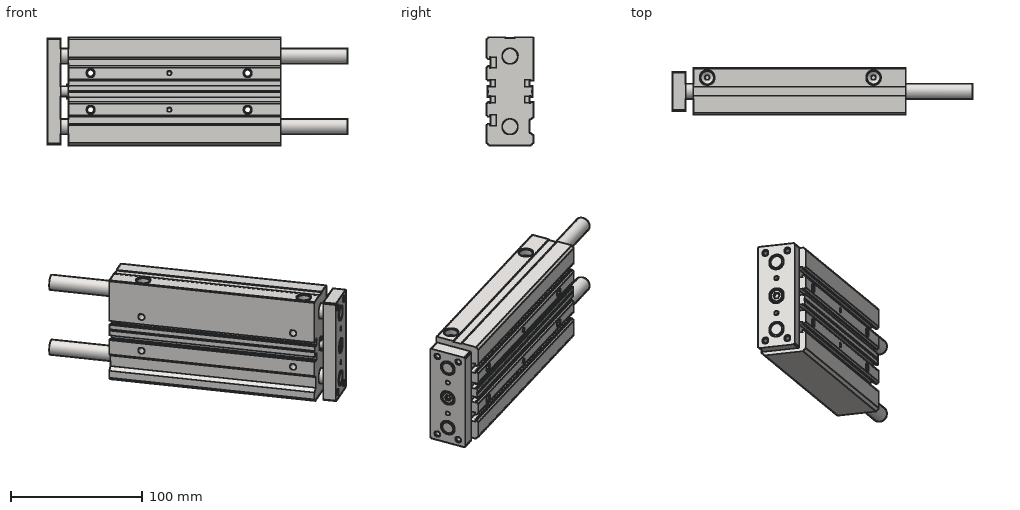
import cadquery as cq
import math

OVERALL_LENGTH = 229.0

HOUSING_START = 16.0
HOUSING_LENGTH = 162.1
HOUSING_THICKNESS = 36.0
HOUSING_WIDTH = 83.0
FRONT_TOP_CHAMFER = 1.8
BACK_TOP_CHAMFER = 0.7
BOTTOM_CHAMFER = 2.3
HALF_THICKNESS = HOUSING_THICKNESS / 2
HALF_WIDTH = HOUSING_WIDTH / 2
SIDE_FRONT = -1
SIDE_BACK = 1

MOUTH_CHAMFER = 1.4
OUTER_SLOT_Z = 22.0
OUTER_NECK_HALF = 2.5
OUTER_INNER_HALF = 4.1
OUTER_NECK_DEPTH = 2.7
OUTER_SLOT_DEPTH = 7.5
CENTRE_SLOT_Z = 6.2
CENTRE_NECK_HALF = 1.8
CENTRE_INNER_HALF = 2.5
CENTRE_NECK_DEPTH = 2.3
CENTRE_SLOT_DEPTH = 6.6

RIB_RECESS = 0.7
RIB_NOTCH_HALF = 0.5
RIB_NOTCH_DEPTH = 0.7

BACK_GROOVE_Z = -26.5
BACK_GROOVE_MOUTH_HALF = 6.9
BACK_GROOVE_DEPTH = 3.5
BACK_GROOVE_FLOOR_HALF = 4.4
TOP_GROOVE_WIDTH = 6.9
TOP_GROOVE_DEPTH = 0.7

MOUNT_HOLE_XS = (33.0, 152.7)
CROSS_HOLE_Z = 14.0
MOUNT_HOLE_RADIUS = 2.5
MOUNT_HOLE_RIM = 3.2
PIN_HOLE_X = 93.0
PIN_HOLE_RADIUS = 1.72
PIN_HOLE_DEPTH = 5.7

PORT_XS = (26.5, 153.5)
PORT_Y = 10.5
PORT_RIM = 5.7
PORT_RADIUS = 5.0
PORT_DEPTH = 5.7
PORT_DUCT_RADIUS = 1.8
PORT_DUCT_END_Z = 18.3

COLLAR_RADIUS = 5.5
COLLAR_LENGTH = 1.4

PLATE_LENGTH = 10.0
PLATE_THICKNESS = 30.0
PLATE_WIDTH = 81.0
PLATE_CHAMFER = 1.0
CORNER_HOLE_Y = 9.0
CORNER_HOLE_Z = 35.0
CORNER_HOLE_RADIUS = 1.8
CORNER_HOLE_RIM = 2.5
COUNTERBORE_RADIUS = 6.0

GUIDE_ROD_RADIUS = 6.0
GUIDE_ROD_SPACING = 53.8
GUIDE_ROD_Z = GUIDE_ROD_SPACING / 2
ROD_END_RADIUS = 4.5
GUIDE_BEVEL_LENGTH = 0.5
PISTON_ROD_DIAMETER = 8.0
PISTON_ROD_RADIUS = PISTON_ROD_DIAMETER / 2
PISTON_ROD_END = 45.8
HEAD_LENGTH = 1.4
SOCKET_ACROSS_CORNERS = 5.0
SOCKET_DEPTH = 2.3

DRILL_POINT_ANGLE = 118
DRILL_TIP_RATIO = 1 / math.tan(math.radians(DRILL_POINT_ANGLE / 2))


def x_cylinder(radius, start, end, z=0.0):
    """Round bar along X, centred at the given height."""
    return cq.Workplane("YZ", origin=(start, 0, z)).circle(radius).extrude(end - start)


def x_prism(points, start, length):
    """Bar along X with the (y, z) outline given."""
    return cq.Workplane("YZ", origin=(start, 0, 0)).polyline(points).close().extrude(length)


def revolved(points, entry, direction):
    """Turned shape with its (radius, distance) outline measured along direction from the entry point."""
    side_axis = (0, 0, 1) if direction[2] == 0 else (1, 0, 0)
    normal = cq.Vector(*side_axis).cross(cq.Vector(*direction))
    plane = cq.Plane(origin=entry, xDir=side_axis, normal=normal)
    return cq.Workplane(plane).polyline(points).close().revolve(360, (0, 0, 0), (0, 1, 0))


def rimmed_hole(entry, direction, rim, radius, depth):
    """Straight hole with a 45 degree countersunk rim."""
    outline = [(0, 0), (rim, 0), (radius, rim - radius), (radius, depth), (0, depth)]
    return revolved(outline, entry, direction)


def drilled_hole(entry, direction, radius, depth):
    """Blind hole with a conical bottom."""
    tip = depth + radius * DRILL_TIP_RATIO
    return revolved([(0, 0), (radius, 0), (radius, depth), (0, tip)], entry, direction)


def lengthwise_slot(side, centre_z, steps):
    """Slot cutter along the housing; steps are (depth, half width) pairs from the mouth inwards."""
    upper = [(side * (HALF_THICKNESS - depth), centre_z + half) for depth, half in steps]
    lower = [(side * (HALF_THICKNESS - depth), centre_z - half) for depth, half in reversed(steps)]
    return x_prism(upper + lower, HOUSING_START, HOUSING_LENGTH)


def t_slot(side, centre_z, neck_half, inner_half, neck_depth, depth):
    steps = [(0, neck_half), (neck_depth, neck_half), (neck_depth, inner_half), (depth, inner_half)]
    return lengthwise_slot(side, centre_z, steps)


def mouth_chamfer(side, outer_z, neck_z):
    """Triangular cutter that bevels one lip of a slot."""
    face_y = side * HALF_THICKNESS
    inner_y = side * (HALF_THICKNESS - MOUTH_CHAMFER)
    corners = [(face_y, outer_z), (face_y, neck_z), (inner_y, neck_z)]
    return x_prism(corners, HOUSING_START, HOUSING_LENGTH)


def housing_block():
    y, z = HALF_THICKNESS, HALF_WIDTH
    outline = [
        (-y + BOTTOM_CHAMFER, -z), (y - BOTTOM_CHAMFER, -z), (y, -z + BOTTOM_CHAMFER),
        (y, z - BACK_TOP_CHAMFER), (y - BACK_TOP_CHAMFER, z),
        (-y + FRONT_TOP_CHAMFER, z), (-y, z - FRONT_TOP_CHAMFER), (-y, -z + BOTTOM_CHAMFER),
    ]
    return x_prism(outline, HOUSING_START, HOUSING_LENGTH)


def cut_slots(body):
    centre_neck_outer = CENTRE_SLOT_Z + CENTRE_NECK_HALF
    rib_half = CENTRE_SLOT_Z - CENTRE_NECK_HALF
    for up in (-1, 1):
        outer_z = up * OUTER_SLOT_Z
        body = body.cut(t_slot(
            SIDE_FRONT, outer_z, OUTER_NECK_HALF, OUTER_INNER_HALF, OUTER_NECK_DEPTH, OUTER_SLOT_DEPTH))
        for lip in (-1, 1):
            neck_z = outer_z + lip * OUTER_NECK_HALF
            body = body.cut(mouth_chamfer(SIDE_FRONT, neck_z + lip * MOUTH_CHAMFER, neck_z))
        for side in (SIDE_FRONT, SIDE_BACK):
            body = body.cut(t_slot(
                side, up * CENTRE_SLOT_Z, CENTRE_NECK_HALF, CENTRE_INNER_HALF,
                CENTRE_NECK_DEPTH, CENTRE_SLOT_DEPTH))
        neck_z = up * centre_neck_outer
        body = body.cut(mouth_chamfer(SIDE_FRONT, neck_z + up * MOUTH_CHAMFER, neck_z))

    notch_bottom = RIB_RECESS + RIB_NOTCH_DEPTH
    for side in (SIDE_FRONT, SIDE_BACK):
        body = body.cut(lengthwise_slot(side, 0, [(0, rib_half), (RIB_RECESS, rib_half)]))
        body = body.cut(lengthwise_slot(side, 0, [(0, RIB_NOTCH_HALF), (notch_bottom, RIB_NOTCH_HALF)]))
    return body


def cut_grooves(body):
    back_steps = [(0, BACK_GROOVE_MOUTH_HALF), (BACK_GROOVE_DEPTH, BACK_GROOVE_FLOOR_HALF)]
    body = body.cut(lengthwise_slot(SIDE_BACK, BACK_GROOVE_Z, back_steps))
    top_cut = cq.Workplane("XY").box(HOUSING_LENGTH, TOP_GROOVE_WIDTH, 2 * TOP_GROOVE_DEPTH)
    return body.cut(top_cut.translate((HOUSING_START + HOUSING_LENGTH / 2, 0, HALF_WIDTH)))


def cut_cross_holes(body):
    inward = (0, 1, 0)
    for z in (-CROSS_HOLE_Z, CROSS_HOLE_Z):
        for x in MOUNT_HOLE_XS:
            entry = (x, -HALF_THICKNESS, z)
            body = body.cut(rimmed_hole(entry, inward, MOUNT_HOLE_RIM, MOUNT_HOLE_RADIUS, HOUSING_THICKNESS))
        entry = (PIN_HOLE_X, -HALF_THICKNESS, z)
        body = body.cut(drilled_hole(entry, inward, PIN_HOLE_RADIUS, PIN_HOLE_DEPTH))
    return body


def cut_ports(body):
    down = (0, 0, -1)
    for x in PORT_XS:
        entry = (x, PORT_Y, HALF_WIDTH)
        body = body.cut(rimmed_hole(entry, down, PORT_RIM, PORT_RADIUS, PORT_DEPTH))
        body = body.cut(drilled_hole(entry, down, PORT_RADIUS, PORT_DEPTH))
        duct = cq.Workplane("XY", origin=entry).circle(PORT_DUCT_RADIUS).extrude(PORT_DUCT_END_Z - HALF_WIDTH)
        body = body.cut(duct)
    return body


def split_collar():
    """Ring in front of the housing with the band level with the piston rod cut away."""
    ring = x_cylinder(COLLAR_RADIUS, HOUSING_START - COLLAR_LENGTH, HOUSING_START)
    gap = cq.Workplane("XY").box(2 * COLLAR_LENGTH, 2 * COLLAR_RADIUS, 2 * PISTON_ROD_RADIUS)
    return ring.cut(gap.translate((HOUSING_START - COLLAR_LENGTH, 0, 0)))


def make_housing():
    body = cut_ports(cut_cross_holes(cut_grooves(cut_slots(housing_block()))))
    body = body.union(split_collar())
    body = body.cut(x_cylinder(PISTON_ROD_RADIUS, HOUSING_START, PISTON_ROD_END))
    for z in (-GUIDE_ROD_Z, GUIDE_ROD_Z):
        body = body.cut(x_cylinder(GUIDE_ROD_RADIUS, HOUSING_START, OVERALL_LENGTH, z))
    return body


def make_end_plate():
    plate = cq.Workplane("YZ").rect(PLATE_THICKNESS, PLATE_WIDTH).extrude(PLATE_LENGTH)
    plate = plate.edges("|X").chamfer(PLATE_CHAMFER)
    inward = (1, 0, 0)
    for z in (-1, 1):
        for y in (-1, 1):
            entry = (0, y * CORNER_HOLE_Y, z * CORNER_HOLE_Z)
            plate = plate.cut(rimmed_hole(entry, inward, CORNER_HOLE_RIM, CORNER_HOLE_RADIUS, PLATE_LENGTH))
        entry = (0, 0, z * CROSS_HOLE_Z)
        plate = plate.cut(drilled_hole(entry, inward, PIN_HOLE_RADIUS, PIN_HOLE_DEPTH))
        plate = plate.cut(x_cylinder(GUIDE_ROD_RADIUS, 0, PLATE_LENGTH, z * GUIDE_ROD_Z))
    plate = plate.cut(x_cylinder(PISTON_ROD_RADIUS, 0, PLATE_LENGTH))
    return plate.cut(x_cylinder(COUNTERBORE_RADIUS, 0, HEAD_LENGTH))


def make_guide_rod(z):
    """Rod flush with the plate face, bevelled at that end."""
    outline = [
        (0, 0), (ROD_END_RADIUS, 0), (GUIDE_ROD_RADIUS, GUIDE_BEVEL_LENGTH),
        (GUIDE_ROD_RADIUS, OVERALL_LENGTH), (0, OVERALL_LENGTH),
    ]
    return revolved(outline, (0, 0, z), (1, 0, 0))


def make_piston_rod():
    """Rod with a flat head, set loosely in the plate counterbore, and a hexagon socket in its end."""
    outline = [
        (0, 0), (ROD_END_RADIUS, 0), (ROD_END_RADIUS, HEAD_LENGTH), (PISTON_ROD_RADIUS, HEAD_LENGTH),
        (PISTON_ROD_RADIUS, PISTON_ROD_END), (0, PISTON_ROD_END),
    ]
    socket = cq.Workplane("YZ").polygon(6, SOCKET_ACROSS_CORNERS).extrude(SOCKET_DEPTH)
    return revolved(outline, (0, 0, 0), (1, 0, 0)).cut(socket)


housing = make_housing()
end_plate = make_end_plate()
guide_rods = [make_guide_rod(z) for z in (-GUIDE_ROD_Z, GUIDE_ROD_Z)]
piston_rod = make_piston_rod()

result = cq.Compound.makeCompound(
    [housing.val(), end_plate.val(), piston_rod.val(), *[rod.val() for rod in guide_rods]]
)